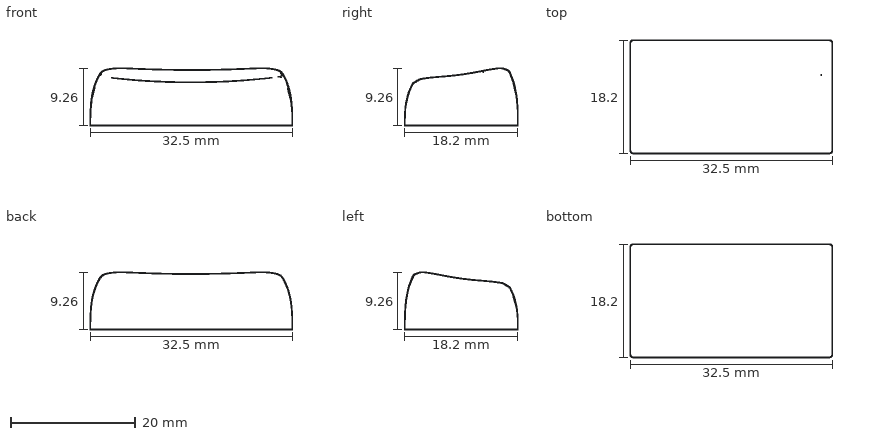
import cadquery as cq
import math

base_length = 32.52
base_width = 18.23
base_corner_radius = 0.5

top_height = 8.4
top_slope = 0.125
section_levels = (0.0, 0.3, 0.6, 0.9, 1.2)

end_mid_lean = 1.65
end_seam_lean = 1.95
side_mid_lean = 1.7
side_seam_lean = 2.45

long_seam_growth = (3.3, 1.4)
end_seam_growth = (2.53, 2.8)

base_corner_bulge = (math.sqrt(2) - 1) / 2
top_corner_bulge = 0.14

dish_half_width = 7.0
dish_back_height = 8.96
dish_front_height = 6.92
dish_sagitta = 0.67
dish_length_radius = 107.0
cutter_half_width = 12.0
cutter_top = 13.0
cutter_angle = 20.0

rim_radius = 0.65


def section_point(x, y, level):
    """Place an outline point on the tilted plane of a section."""
    return cq.Vector(x, y, level * (top_height + top_slope * y))


def corner_setback(level, growth):
    """Distance from the base's side to the seam where a corner begins."""
    linear, quadratic = growth
    return base_corner_radius + linear * level + quadratic * level**2


def section_wire(level):
    """Closed outline of four bowed walls and four rounded corners."""
    cube = level**3
    end_mid_x = base_length / 2 - end_mid_lean * cube
    end_seam_x = base_length / 2 - end_seam_lean * cube
    side_mid_y = base_width / 2 - side_mid_lean * cube
    side_seam_y = base_width / 2 - side_seam_lean * cube

    side_seam_x = base_length / 2 - corner_setback(level, long_seam_growth)
    end_seam_y = base_width / 2 - corner_setback(level, end_seam_growth)

    bulge = base_corner_bulge + (top_corner_bulge - base_corner_bulge) * level
    corner_x = (end_seam_x + side_seam_x) / 2 + bulge * (side_seam_y - end_seam_y)
    corner_y = (end_seam_y + side_seam_y) / 2 + bulge * (end_seam_x - side_seam_x)

    outline = [
        (end_seam_x, -end_seam_y),
        (end_mid_x, 0),
        (end_seam_x, end_seam_y),
        (corner_x, corner_y),
        (side_seam_x, side_seam_y),
        (0, side_mid_y),
        (-side_seam_x, side_seam_y),
        (-corner_x, corner_y),
        (-end_seam_x, end_seam_y),
        (-end_mid_x, 0),
        (-end_seam_x, -end_seam_y),
        (-corner_x, -corner_y),
        (-side_seam_x, -side_seam_y),
        (0, -side_mid_y),
        (side_seam_x, -side_seam_y),
        (corner_x, -corner_y),
    ]
    points = [section_point(x, y, level) for x, y in outline]
    points.append(points[0])

    edges = []
    for start in range(0, len(outline), 2):
        first, middle, last = points[start : start + 3]
        is_wall = start % 4 == 0
        if is_wall and level == 0:
            edges.append(cq.Edge.makeLine(first, last))
        else:
            edges.append(cq.Edge.makeThreePointArc(first, middle, last))
    return cq.Wire.assembleEdges(edges)


def wall_body():
    """Solid block bounded by the leaning walls."""
    sections = [section_wire(level) for level in section_levels]
    return cq.Workplane(cq.Solid.makeLoft(sections))


def dish_cutter():
    """Everything above the doubly curved dish."""
    chord_slope = (dish_back_height - dish_front_height) / (2 * dish_half_width)
    mid_height = (dish_back_height + dish_front_height) / 2
    arc_radius = (dish_half_width**2 + dish_sagitta**2) / (2 * dish_sagitta)

    def profile_height(y):
        depth = dish_sagitta - arc_radius + math.sqrt(arc_radius**2 - y**2)
        return mid_height + chord_slope * y - depth

    axis_height = profile_height(0) + dish_length_radius
    ends = [(y, profile_height(y)) for y in (-cutter_half_width, cutter_half_width)]
    return (
        cq.Workplane("YZ")
        .moveTo(*ends[0])
        .threePointArc((0, profile_height(0)), ends[1])
        .lineTo(cutter_half_width, cutter_top)
        .lineTo(-cutter_half_width, cutter_top)
        .close()
        .revolve(cutter_angle, (0, axis_height), (1, axis_height))
        .rotate((0, 0, axis_height), (0, 1, axis_height), -cutter_angle / 2)
    )


dished = wall_body().cut(dish_cutter())
result = dished.faces("%TORUS").edges().fillet(rim_radius)